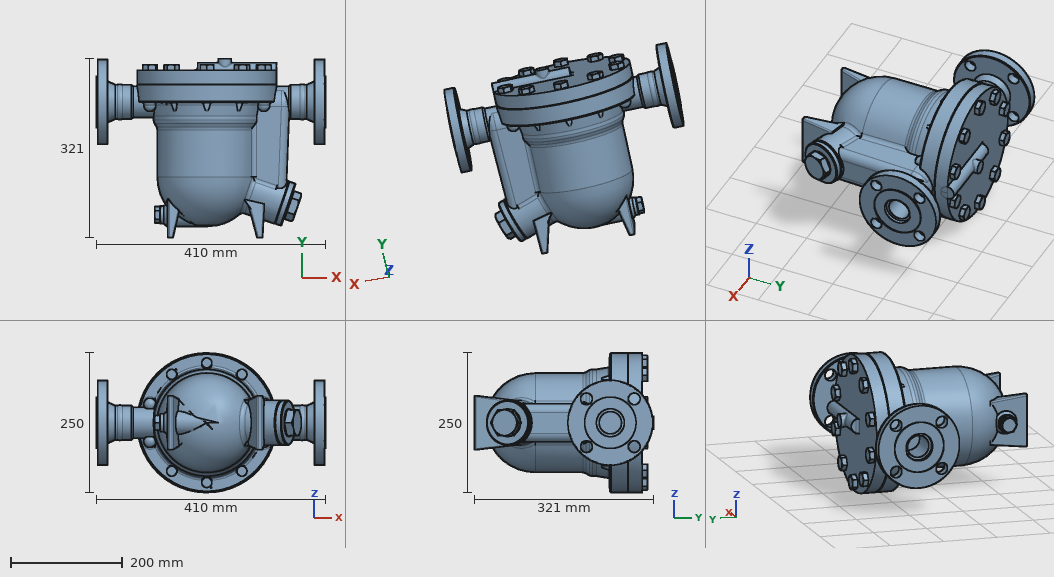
import cadquery as cq
import math


FLANGE_R = 125.0
COVER_BACK_Y = 57.0
COVER_JOINT_Y = 32.0
BODY_JOINT_Y = 30.8
GASKET_R = 124.0
FLANGE_FRONT_Y = -1.0
FLANGE_CHAMFER = 2.5
NECK_ROOT_R = 99.0
NECK_ROOT_FILLET = 4.0
NECK_R = 95.6
NECK_TAPER_END_Y = -25.0
NECK_END_Y = -32.0
NECK_ROUND = 12.0
SHOULDER_ANGLE = 30.0
SHOULDER_ROUND = 11.0
SHELL_R = 89.0
DOME_Y = -134.0

BOLT_COUNT = 10
BOLT_CIRCLE_R = 107.0
BOLT_FIRST_ANGLE = 18.0
BOLT_HEAD_ACROSS_FLATS = 24.0
BOLT_HEAD_HEIGHT = 9.5
BOLT_END_D = 18.0
BOLT_END_PROUD = 0.8
SPOTFACE_D = 20.0
SPOTFACE_DEPTH = 20.0
SIDE_BOSS_R = 11.1
SIDE_BOSS_TIP_Y = -17.0
SIDE_BOSS_FILLET = 3.0

CHANNEL_R = 13.4
CHANNEL_START_X = -16.5
CHANNEL_FOOT_FILLET = 5.0
GAUGE_BOSS_X = 32.0
GAUGE_BOSS_D = 24.0
GAUGE_BOSS_FILLET = 1.5
GAUGE_BOSS_TOP_Y = 77.6

OVERALL_LENGTH = 410.0
PIPE_MIDDLE_X = 7.5
RAISED_FACE_D = 92.1
RAISED_FACE_HEIGHT = 2.0
PIPE_FLANGE_D = 152.0
PIPE_FLANGE_THICKNESS = 18.5
PIPE_FLANGE_CHAMFER = 1.5
HUB_ROOT_D = 74.0
HUB_D = 62.0
HUB_TAPER_END = 33.5
WELD_START = 37.5
WELD_END = 46.5
WELD_HEIGHT = 0.8
HUB_END = 62.0
HUB_END_CHAMFER = 4.0
STUB_D = 56.0
SOCKET_D = 50.0
SOCKET_DEPTH = 7.0
BORE_D = 40.0
FLANGE_HOLE_D = 21.0
FLANGE_HOLE_CIRCLE_D = 121.0

RISER_CROWN_Y = -7.5
RISER_OUTER_X = 148.0
RISER_DRAFT_ANGLE = 2.2
RISER_INNER_X = 60.0
RISER_HALF_WIDTH = 34.0
RISER_EDGE_R = 15.0
RISER_ROOT_FILLET = 10.0
RISER_LANDING_FILLET = 15.0
LANDING_START = 124.0
LANDING_END = 74.0

STRAINER_ANGLE = 18.9
STRAINER_R = 40.5
STRAINER_END = 141.5
STRAINER_ROOT_FILLET = 10.0
CAP_GROOVE = 1.5
CAP_GROOVE_R = 38.5
CAP_R = 40.0
CAP_END = 154.5
CAP_CHAMFER = 1.5
CAP_WASHER_D = 49.5
CAP_WASHER_END = 156.0
CAP_HEX_ACROSS_FLATS = 46.0
CAP_HEX_HEIGHT = 15.0

DRAIN_Y = -202.0
DRAIN_BOSS_R = 21.0
DRAIN_BOSS_FACE_X = -71.0
DRAIN_COLLAR_R = 16.0
DRAIN_COLLAR_START_X = -77.0
DRAIN_COLLAR_END_X = -83.0
DRAIN_NECK_D = 24.0
DRAIN_HEX_START_X = -84.0
DRAIN_HEX_END_X = -93.5
DRAIN_HEX_ACROSS_FLATS = 26.0

FOOT_BOTTOM_Y = -243.4
FOOT_BOTTOM_HALF_WIDTH = 49.0
FOOT_TOP_HALF_WIDTH = 40.0
FOOT_TOP_Y = -170.0
FOOT_EDGE_FILLET = 2.5
FOOT_ROUNDED_BELOW_Y = -200.0
LEFT_FOOT_OUTLINE = [
    (-70.0, FOOT_BOTTOM_Y),
    (-60.4, FOOT_BOTTOM_Y),
    (-49.5, -195.0),
    (-70.0, FOOT_TOP_Y),
]
RIGHT_FOOT_OUTLINE = [
    (89.8, FOOT_BOTTOM_Y),
    (100.0, FOOT_BOTTOM_Y),
    (103.0, -182.5),
    (66.0, -174.0),
    (74.5, -185.5),
]


def cylinder(start, direction, diameter, length):
    """Solid cylinder from a start point along a direction."""
    return cq.Workplane(cq.Solid.makeCylinder(diameter / 2, length, cq.Vector(*start), cq.Vector(*direction)))


def hexagon(start, direction, corner_direction, across_flats, length):
    """Hexagonal prism with its faceted end rounded down to the across-flats circle."""
    plane = cq.Plane(origin=start, xDir=corner_direction, normal=direction)
    corner_d = across_flats / math.cos(math.pi / 6)
    prism = cq.Workplane(plane).polygon(6, corner_d).extrude(length)
    chamfer_width = (corner_d - across_flats) / 2
    chamfer_height = chamfer_width * math.tan(math.pi / 6)
    envelope = cq.Workplane(plane).circle(corner_d / 2).extrude(length)
    envelope = envelope.faces(cq.selectors.DirectionMinMaxSelector(cq.Vector(*direction)))
    envelope = envelope.chamfer(chamfer_height, chamfer_width)
    return prism.intersect(envelope)


def make_shell():
    """Cover, gasket line, flange, neck, cylindrical shell and dome in one turned solid."""
    shoulder = math.radians(SHOULDER_ANGLE)
    root_arc_mid = NECK_ROOT_FILLET * (1 - math.sqrt(0.5))
    neck_round_end = (
        NECK_R - NECK_ROUND * (1 - math.cos(shoulder)),
        NECK_END_Y - NECK_ROUND * math.sin(shoulder),
    )
    neck_round_mid = (
        NECK_R - NECK_ROUND * (1 - math.cos(shoulder / 2)),
        NECK_END_Y - NECK_ROUND * math.sin(shoulder / 2),
    )
    slope_end_r = SHELL_R + SHOULDER_ROUND * (1 - math.cos(shoulder))
    slope_end_y = neck_round_end[1] - (neck_round_end[0] - slope_end_r) / math.tan(shoulder)
    shell_start_y = slope_end_y - SHOULDER_ROUND * math.sin(shoulder)
    shoulder_mid = (
        SHELL_R + SHOULDER_ROUND * (1 - math.cos(shoulder / 2)),
        shell_start_y + SHOULDER_ROUND * math.sin(shoulder / 2),
    )
    dome_mid = SHELL_R * math.sqrt(0.5)
    return (
        cq.Workplane("XY")
        .moveTo(0, COVER_BACK_Y)
        .lineTo(FLANGE_R, COVER_BACK_Y)
        .lineTo(FLANGE_R, COVER_JOINT_Y)
        .lineTo(GASKET_R, COVER_JOINT_Y)
        .lineTo(GASKET_R, BODY_JOINT_Y)
        .lineTo(FLANGE_R, BODY_JOINT_Y)
        .lineTo(FLANGE_R, FLANGE_FRONT_Y + FLANGE_CHAMFER)
        .lineTo(FLANGE_R - FLANGE_CHAMFER, FLANGE_FRONT_Y)
        .lineTo(NECK_ROOT_R + NECK_ROOT_FILLET, FLANGE_FRONT_Y)
        .threePointArc(
            (NECK_ROOT_R + root_arc_mid, FLANGE_FRONT_Y - root_arc_mid),
            (NECK_ROOT_R, FLANGE_FRONT_Y - NECK_ROOT_FILLET),
        )
        .lineTo(NECK_R, NECK_TAPER_END_Y)
        .lineTo(NECK_R, NECK_END_Y)
        .threePointArc(neck_round_mid, neck_round_end)
        .lineTo(slope_end_r, slope_end_y)
        .threePointArc(shoulder_mid, (SHELL_R, shell_start_y))
        .lineTo(SHELL_R, DOME_Y)
        .threePointArc((dome_mid, DOME_Y - dome_mid), (0, DOME_Y - SHELL_R))
        .close()
        .revolve(360, (0, 0, 0), (0, 1, 0))
    )


def bolt_positions():
    """Angle, X and Z of each bolt."""
    angles = [math.radians(BOLT_FIRST_ANGLE + i * 360 / BOLT_COUNT) for i in range(BOLT_COUNT)]
    return [(a, BOLT_CIRCLE_R * math.cos(a), BOLT_CIRCLE_R * math.sin(a)) for a in angles]


def beside_pipe(angle):
    """True for the four bolts closest to the pipe axis."""
    return abs(math.sin(angle)) < math.sin(math.radians(BOLT_FIRST_ANGLE + 1))


def make_side_boss(x, z):
    """Round-nosed boss that covers a bolt end beside the pipe, with a filleted root."""
    nose_y = SIDE_BOSS_TIP_Y + SIDE_BOSS_R
    fillet_mid = SIDE_BOSS_FILLET * (1 - math.sqrt(0.5))
    nose_mid = SIDE_BOSS_R * math.sqrt(0.5)
    return (
        cq.Workplane("XY")
        .moveTo(0, FLANGE_FRONT_Y + FLANGE_CHAMFER)
        .lineTo(SIDE_BOSS_R + SIDE_BOSS_FILLET, FLANGE_FRONT_Y + FLANGE_CHAMFER)
        .lineTo(SIDE_BOSS_R + SIDE_BOSS_FILLET, FLANGE_FRONT_Y)
        .threePointArc(
            (SIDE_BOSS_R + fillet_mid, FLANGE_FRONT_Y - fillet_mid),
            (SIDE_BOSS_R, FLANGE_FRONT_Y - SIDE_BOSS_FILLET),
        )
        .lineTo(SIDE_BOSS_R, nose_y)
        .threePointArc((nose_mid, nose_y - nose_mid), (0, SIDE_BOSS_TIP_Y))
        .close()
        .revolve(360, (0, 0, 0), (0, 1, 0))
        .translate((x, 0, z))
    )


def add_bolts(part):
    """Hexagon heads behind the cover; spotfaced bolt ends or covering bosses on the body flange."""
    for angle, x, z in bolt_positions():
        outward = (math.cos(angle), 0, math.sin(angle))
        part = part.union(
            hexagon((x, COVER_BACK_Y, z), (0, 1, 0), outward, BOLT_HEAD_ACROSS_FLATS, BOLT_HEAD_HEIGHT)
        )
        if beside_pipe(angle):
            part = part.union(make_side_boss(x, z))
        else:
            part = part.cut(cylinder((x, FLANGE_FRONT_Y, z), (0, -1, 0), SPOTFACE_D, SPOTFACE_DEPTH))
            part = part.union(cylinder((x, 0, z), (0, -1, 0), BOLT_END_D, BOLT_END_PROUD - FLANGE_FRONT_Y))
    return part


def make_cover_channel():
    """Half-round channel on the back of the cover with the gauge boss standing on it."""
    channel = cylinder(
        (CHANNEL_START_X, COVER_BACK_Y, 0), (1, 0, 0), 2 * CHANNEL_R, FLANGE_R - CHANNEL_START_X
    )
    foot_mid = CHANNEL_FOOT_FILLET * (1 - math.sqrt(0.5))
    foot = (
        cq.Workplane("XY")
        .moveTo(CHANNEL_START_X, COVER_BACK_Y)
        .lineTo(CHANNEL_START_X - CHANNEL_FOOT_FILLET, COVER_BACK_Y)
        .threePointArc(
            (CHANNEL_START_X - foot_mid, COVER_BACK_Y + foot_mid),
            (CHANNEL_START_X, COVER_BACK_Y + CHANNEL_FOOT_FILLET),
        )
        .close()
        .extrude(CHANNEL_R, both=True)
    )
    gauge_boss = cylinder(
        (GAUGE_BOSS_X, COVER_BACK_Y, 0), (0, 1, 0), GAUGE_BOSS_D, GAUGE_BOSS_TOP_Y - COVER_BACK_Y
    )
    flange_limit = cylinder((0, 0, 0), (0, 1, 0), 2 * FLANGE_R, GAUGE_BOSS_TOP_Y)
    joined = channel.union(gauge_boss)
    meeting_curve = cq.selectors.BoxSelector(
        (GAUGE_BOSS_X - 1, COVER_BACK_Y + 1, -1),
        (GAUGE_BOSS_X + 1, COVER_BACK_Y + CHANNEL_R, 1),
    )
    joined = joined.edges(meeting_curve).fillet(GAUGE_BOSS_FILLET)
    return joined.union(foot).intersect(flange_limit)


def make_pipe_flange():
    """Flange with hub and weld bead, raised face at X = 0 and hub toward +X."""
    flange_back = RAISED_FACE_HEIGHT + PIPE_FLANGE_THICKNESS
    hub_r = HUB_D / 2
    flange_r = PIPE_FLANGE_D / 2
    outline = (
        cq.Workplane("XY")
        .moveTo(0, 0)
        .lineTo(0, RAISED_FACE_D / 2)
        .lineTo(RAISED_FACE_HEIGHT, RAISED_FACE_D / 2)
        .lineTo(RAISED_FACE_HEIGHT, flange_r)
        .lineTo(flange_back - PIPE_FLANGE_CHAMFER, flange_r)
        .lineTo(flange_back, flange_r - PIPE_FLANGE_CHAMFER)
        .lineTo(flange_back, HUB_ROOT_D / 2)
        .lineTo(HUB_TAPER_END, hub_r)
        .lineTo(WELD_START, hub_r)
        .threePointArc(((WELD_START + WELD_END) / 2, hub_r + WELD_HEIGHT), (WELD_END, hub_r))
        .lineTo(HUB_END, hub_r)
        .lineTo(HUB_END + HUB_END_CHAMFER, STUB_D / 2)
        .lineTo(HUB_END + HUB_END_CHAMFER, 0)
        .close()
    )
    flange = outline.revolve(360, (0, 0, 0), (1, 0, 0))
    flange = flange.cut(cylinder((0, 0, 0), (1, 0, 0), SOCKET_D, SOCKET_DEPTH))
    flange = flange.cut(cylinder((0, 0, 0), (1, 0, 0), BORE_D, HUB_END))
    hole_offset = FLANGE_HOLE_CIRCLE_D / 2 * math.sqrt(0.5)
    for y in (-hole_offset, hole_offset):
        for z in (-hole_offset, hole_offset):
            flange = flange.cut(cylinder((0, y, z), (1, 0, 0), FLANGE_HOLE_D, flange_back))
    return flange


def make_pipes():
    """Inlet and outlet flanges with the stubs that carry them."""
    left_face_x = PIPE_MIDDLE_X - OVERALL_LENGTH / 2
    inlet = make_pipe_flange().translate((left_face_x, 0, 0))
    outlet = inlet.mirror("YZ", (PIPE_MIDDLE_X, 0, 0))
    stub_start_x = left_face_x + HUB_END + HUB_END_CHAMFER
    stub = cylinder((stub_start_x, 0, 0), (1, 0, 0), STUB_D, 2 * (PIPE_MIDDLE_X - stub_start_x))
    return stub.union(inlet).union(outlet)


def strainer_plane():
    """Plane with its origin at the dome centre and local X along the strainer axis."""
    angle = math.radians(STRAINER_ANGLE)
    return cq.Plane(origin=(0, DOME_Y, 0), xDir=(math.cos(angle), -math.sin(angle), 0), normal=(0, 0, 1))


def make_riser():
    """Flat-sided duct with a half-round crown and rounded outer edges, cut off at the strainer boss."""
    bottom_y = DOME_Y - SHELL_R
    outline = (
        cq.Workplane("YZ", origin=(RISER_INNER_X, 0, 0))
        .moveTo(bottom_y, -RISER_HALF_WIDTH)
        .lineTo(RISER_CROWN_Y, -RISER_HALF_WIDTH)
        .threePointArc((RISER_CROWN_Y + RISER_HALF_WIDTH, 0), (RISER_CROWN_Y, RISER_HALF_WIDTH))
        .lineTo(bottom_y, RISER_HALF_WIDTH)
        .close()
    )
    duct = outline.extrude(2 * RISER_OUTER_X)
    outer_plane = cq.Plane(
        origin=(RISER_OUTER_X, RISER_CROWN_Y, 0),
        xDir=(0, 0, 1),
        normal=(1, -math.tan(math.radians(RISER_DRAFT_ANGLE)), 0),
    )
    duct = duct.cut(cq.Workplane(outer_plane).rect(4 * FLANGE_R, 4 * FLANGE_R).extrude(2 * FLANGE_R))
    duct = duct.faces(">X").edges("not |Z").fillet(RISER_EDGE_R)
    beyond_end = (
        cq.Workplane(strainer_plane())
        .moveTo(STRAINER_END, 0)
        .rect(SHELL_R, 4 * SHELL_R, centered=(False, True))
        .extrude(2 * RISER_HALF_WIDTH, both=True)
    )
    below_axis = (
        cq.Workplane(strainer_plane())
        .moveTo(0, -SHELL_R)
        .rect(4 * SHELL_R, 2 * SHELL_R)
        .extrude(2 * RISER_HALF_WIDTH, both=True)
    )
    return duct.cut(beyond_end).cut(below_axis)


def make_side_blends(plane, round_r, fillet_r, length):
    """Concave blends along both flat sides of the riser where they meet a round wall.

    The plane has its origin on the axis of the wall, local X along the flats and local Y along Z.
    """
    centre_y = RISER_HALF_WIDTH + fillet_r
    centre_x = math.sqrt((round_r + fillet_r) ** 2 - centre_y**2)
    ratio = round_r / (round_r + fillet_r)
    depth = centre_x * ratio * RISER_HALF_WIDTH / centre_y
    section = [(depth, 0), (centre_x, 0), (centre_x, centre_y), (centre_x * ratio, centre_y * ratio)]
    blend = cq.Workplane(plane).polyline(section).close().extrude(length)
    hollow = cq.Workplane(plane).center(centre_x, centre_y).circle(fillet_r).extrude(length)
    blend = blend.cut(hollow)
    return blend.union(blend.mirror("XY"))


def make_riser_blends():
    """Side blends from the riser to the shell and to the strainer boss."""
    shell_plane = cq.Plane(origin=(0, 0, 0), xDir=(1, 0, 0), normal=(0, -1, 0))
    along = strainer_plane()
    boss_plane = cq.Plane(
        origin=along.toWorldCoords((LANDING_START, 0)).toTuple(),
        xDir=along.yDir.toTuple(),
        normal=(-along.xDir).toTuple(),
    )
    on_shell = make_side_blends(shell_plane, SHELL_R, RISER_ROOT_FILLET, -DOME_Y)
    on_boss = make_side_blends(boss_plane, STRAINER_R, RISER_LANDING_FILLET, LANDING_START - LANDING_END)
    return on_shell.union(on_boss)


def make_strainer():
    """Inclined boss with a blended root, grooved screw cap and hexagon."""
    blend_r = STRAINER_R + STRAINER_ROOT_FILLET
    blend_s = math.sqrt((SHELL_R + STRAINER_ROOT_FILLET) ** 2 - blend_r**2)
    ratio = SHELL_R / (SHELL_R + STRAINER_ROOT_FILLET)
    half_turn = (math.pi + math.atan2(blend_r, blend_s) + 1.5 * math.pi) / 2
    blend_mid = (
        blend_s + STRAINER_ROOT_FILLET * math.cos(half_turn),
        blend_r + STRAINER_ROOT_FILLET * math.sin(half_turn),
    )
    plane = strainer_plane()
    boss = (
        cq.Workplane(plane)
        .moveTo(0, 0)
        .lineTo(blend_s * ratio, blend_r * ratio)
        .threePointArc(blend_mid, (blend_s, STRAINER_R))
        .lineTo(STRAINER_END, STRAINER_R)
        .lineTo(STRAINER_END, CAP_GROOVE_R)
        .lineTo(STRAINER_END + CAP_GROOVE, CAP_GROOVE_R)
        .lineTo(STRAINER_END + CAP_GROOVE, CAP_R)
        .lineTo(CAP_END - CAP_CHAMFER, CAP_R)
        .lineTo(CAP_END, CAP_R - CAP_CHAMFER)
        .lineTo(CAP_END, CAP_WASHER_D / 2)
        .lineTo(CAP_WASHER_END, CAP_WASHER_D / 2)
        .lineTo(CAP_WASHER_END, 0)
        .close()
        .revolve(360, (0, 0, 0), (1, 0, 0))
    )
    hex_start = plane.toWorldCoords((CAP_WASHER_END, 0))
    head = hexagon(
        hex_start.toTuple(), plane.xDir.toTuple(), plane.yDir.toTuple(), CAP_HEX_ACROSS_FLATS, CAP_HEX_HEIGHT
    )
    return boss.union(head)


def make_drain():
    """Drain boss tangent to the bottom of the dome, with a stepped collar and hexagon plug."""
    collar = [
        (0, 0),
        (0, DRAIN_BOSS_R),
        (DRAIN_BOSS_FACE_X, DRAIN_BOSS_R),
        (DRAIN_COLLAR_START_X, DRAIN_COLLAR_R),
        (DRAIN_COLLAR_END_X, DRAIN_COLLAR_R),
        (DRAIN_COLLAR_END_X, DRAIN_NECK_D / 2),
        (DRAIN_HEX_START_X, DRAIN_NECK_D / 2),
        (DRAIN_HEX_START_X, 0),
    ]
    boss = cq.Workplane("XY").polyline(collar).close().revolve(360, (0, 0, 0), (1, 0, 0))
    plug = hexagon(
        (DRAIN_HEX_START_X, 0, 0), (-1, 0, 0), (0, 1, 0),
        DRAIN_HEX_ACROSS_FLATS, DRAIN_HEX_START_X - DRAIN_HEX_END_X,
    )
    return boss.union(plug).translate((0, DRAIN_Y, 0))


def make_foot(outline):
    """Wedge-shaped foot whose width tapers from the bottom edge up to the body."""
    wedge = cq.Workplane("XY").polyline(outline).close().extrude(FOOT_BOTTOM_HALF_WIDTH, both=True)
    taper = (
        cq.Workplane("YZ", origin=(-FLANGE_R, 0, 0))
        .polyline([
            (FOOT_BOTTOM_Y, -FOOT_BOTTOM_HALF_WIDTH),
            (FOOT_BOTTOM_Y, FOOT_BOTTOM_HALF_WIDTH),
            (FOOT_TOP_Y, FOOT_TOP_HALF_WIDTH),
            (FOOT_TOP_Y, -FOOT_TOP_HALF_WIDTH),
        ])
        .close()
        .extrude(2 * FLANGE_R)
    )
    outer_edges = cq.selectors.BoxSelector(
        (-FLANGE_R, FOOT_BOTTOM_Y - 1, -FLANGE_R), (FLANGE_R, FOOT_ROUNDED_BELOW_Y, FLANGE_R)
    )
    return wedge.intersect(taper).edges(outer_edges).fillet(FOOT_EDGE_FILLET)


result = add_bolts(make_shell())
result = result.union(make_cover_channel())
result = result.union(make_pipes())
result = result.union(make_strainer())
result = result.union(make_riser())
result = result.union(make_riser_blends())
result = result.union(make_drain())
for foot_outline in (LEFT_FOOT_OUTLINE, RIGHT_FOOT_OUTLINE):
    result = result.union(make_foot(foot_outline))